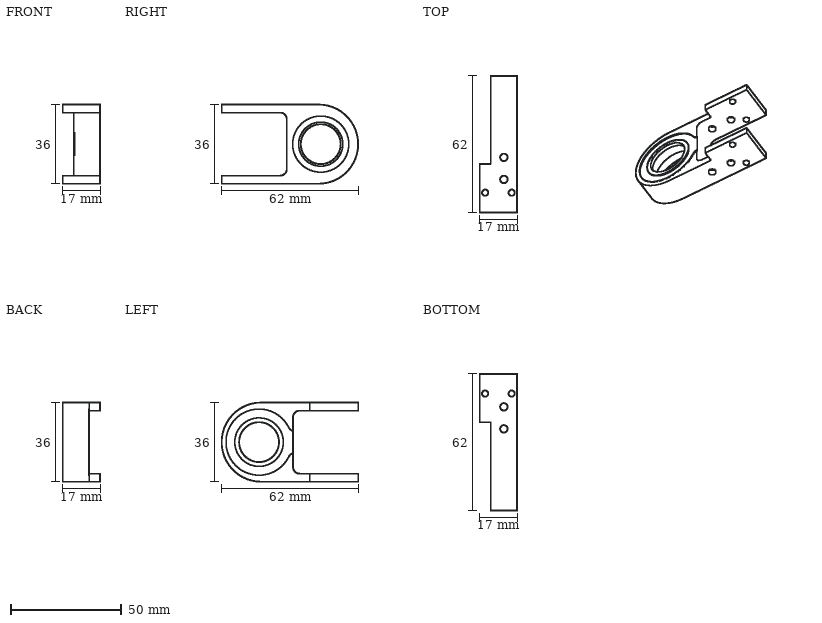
import cadquery as cq
import math

length = 62.0
height = 36.0
tab_width = 17.0
body_width = 12.0
end_radius = height / 2
bore_offset = 1.0
round_center_y = -bore_offset
end_y = round_center_y + end_radius
tip_y = end_y - length

slot_wall_y = end_y - 32.5
arm_thickness = 3.8
slot_height = height - 2 * arm_thickness
slot_corner_radius = 2.85
tab_length = 22.0

bore_diameter = 18.0
lip_depth = 1.75
relief_diameter = 20.0
seat_diameter = 25.5
seat_start = 6.5
rim_diameter = 22.0
recess_radius = 15.0
recess_depth = 0.55
mouth_half_height = 4.95
mouth_blend_radius = 3.0

large_hole_diameter = 3.3
large_hole_tip_distances = (15.0, 25.0)
small_hole_diameter = 2.7
small_hole_tip_distance = 9.0
small_hole_edge_distance = 2.5


def make_body():
    """Round-ended block, from X = 0 (face) to X = body_width."""
    top = height / 2
    return (
        cq.Workplane("YZ")
        .moveTo(tip_y, -top)
        .lineTo(round_center_y, -top)
        .threePointArc((end_y, 0), (round_center_y, top))
        .lineTo(tip_y, top)
        .close()
        .extrude(body_width)
    )


def make_tabs():
    """Wider end of the fork, reaching past the body face towards -X."""
    return cq.Workplane("XY").box(tab_width, tab_length, height, centered=False).translate(
        (body_width - tab_width, tip_y, -height / 2)
    )


def make_slot():
    """Opening between the arms, rounded at its inner corners."""
    return (
        cq.Workplane("XY")
        .box(tab_width, slot_wall_y - tip_y, slot_height, centered=False)
        .translate((body_width - tab_width, tip_y, -slot_height / 2))
        .edges("|X and >Y")
        .fillet(slot_corner_radius)
    )


def make_recess():
    """Shallow round pocket that flares into a mouth at the slot wall, leaving the bore rim."""
    blend_z = mouth_half_height + mouth_blend_radius
    blend_y = -math.sqrt((recess_radius + mouth_blend_radius) ** 2 - blend_z**2)
    share = recess_radius / (recess_radius + mouth_blend_radius)
    touch_y = blend_y * share
    touch_z = blend_z * share
    middle_angle = (math.atan2(touch_z - blend_z, touch_y - blend_y) - math.pi / 2) / 2
    middle_y = blend_y + mouth_blend_radius * math.cos(middle_angle)
    middle_z = blend_z + mouth_blend_radius * math.sin(middle_angle)
    pocket = (
        cq.Workplane("YZ")
        .moveTo(slot_wall_y, -mouth_half_height)
        .lineTo(blend_y, -mouth_half_height)
        .threePointArc((middle_y, -middle_z), (touch_y, -touch_z))
        .threePointArc((recess_radius, 0), (touch_y, touch_z))
        .threePointArc((middle_y, middle_z), (blend_y, mouth_half_height))
        .lineTo(slot_wall_y, mouth_half_height)
        .close()
        .extrude(recess_depth)
    )
    rim = cq.Workplane("YZ").circle(rim_diameter / 2).extrude(recess_depth)
    return pocket.cut(rim)


def make_bore():
    """Through bore that widens in two steps towards +X: lip, relief, seat."""
    bore = cq.Workplane("YZ").circle(bore_diameter / 2).extrude(body_width)
    for diameter, start in ((relief_diameter, lip_depth), (seat_diameter, seat_start)):
        step = cq.Workplane("YZ", origin=(start, 0, 0)).circle(diameter / 2).extrude(body_width - start)
        bore = bore.union(step)
    return bore


def make_arm_holes():
    """Vertical holes through both arms."""
    large_points = [(body_width / 2, tip_y + distance) for distance in large_hole_tip_distances]
    small_y = tip_y + small_hole_tip_distance
    small_points = [
        (body_width - tab_width + small_hole_edge_distance, small_y),
        (body_width - small_hole_edge_distance, small_y),
    ]
    base = cq.Workplane("XY").workplane(offset=-height / 2)
    large = base.pushPoints(large_points).circle(large_hole_diameter / 2).extrude(height)
    small = base.pushPoints(small_points).circle(small_hole_diameter / 2).extrude(height)
    return large.union(small)


result = (
    make_body()
    .union(make_tabs())
    .cut(make_slot())
    .cut(make_recess())
    .cut(make_bore())
    .cut(make_arm_holes())
)